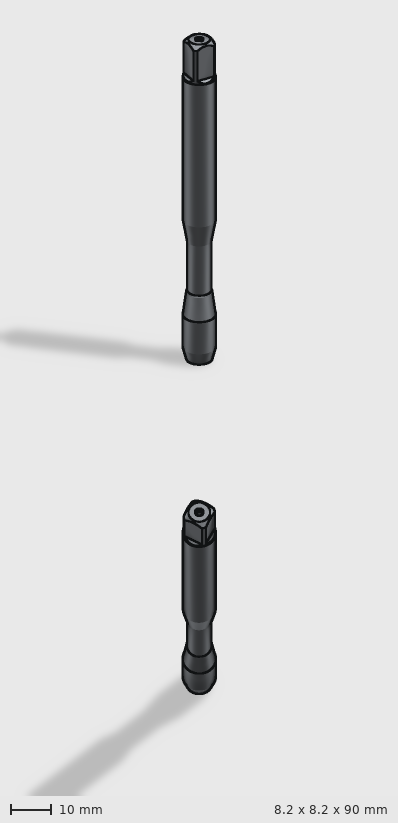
import cadquery as cq
import math

length = 90.0

thread_radius = 8.2 / 2
head_length = 12.8
lead_length = 3.7
tip_radius = 3.2
tip_point_height = 0.4

shank_radius = 8.1 / 2
neck_radius = 6.0 / 2
neck_bottom = 19.6
neck_top = 33.4
shank_bottom = 39.3
flare_height = 0.6
flare_radius = 3.2

square_width = 6.2
square_bottom = 80.4
corner_radius = 7.8 / 2
end_face_radius = 5.3 / 2
end_chamfer_height = 1.2
runout_height = shank_radius - square_width / 2
shank_top = square_bottom - runout_height

center_hole_radius = 1.5 / 2
center_hole_wall = 0.8
drill_point_height = center_hole_radius / math.tan(math.radians(118 / 2))
countersink_radius = 2.1 / 2
countersink_depth = 0.45


def revolve_profile(points):
    """Revolve a closed (radius, height) outline about the Z axis."""
    return cq.Workplane("XZ").polyline(points).close().revolve(360, (0, 0), (0, 1))


def make_cutting_head():
    """Thread envelope with a tapered lead and a shallow conical tip."""
    return revolve_profile([
        (0, 0),
        (tip_radius, tip_point_height),
        (thread_radius, lead_length),
        (thread_radius, head_length),
        (0, head_length),
    ])


def make_shank_blank():
    """Round shank with its relieved neck, flare and chamfered drive end."""
    return revolve_profile([
        (0, head_length),
        (shank_radius, head_length),
        (flare_radius, neck_bottom - flare_height),
        (neck_radius, neck_bottom),
        (neck_radius, neck_top),
        (shank_radius, shank_bottom),
        (shank_radius, shank_top),
        (corner_radius, shank_top),
        (corner_radius, length - end_chamfer_height),
        (end_face_radius, length),
        (0, length),
    ])


def make_flat_cutter():
    """Material outside one drive flat, with a 45 degree run-out at its lower end."""
    flat_distance = square_width / 2
    return (
        cq.Workplane("XZ")
        .polyline([
            (flat_distance, length),
            (flat_distance, square_bottom),
            (shank_radius, shank_top),
            (shank_radius, length),
        ])
        .close()
        .extrude(shank_radius, both=True)
    )


def make_center_hole():
    """Drilled hole with a countersunk mouth and a conical bottom."""
    wall_top = length - countersink_depth
    wall_bottom = wall_top - center_hole_wall
    return revolve_profile([
        (0, wall_bottom - drill_point_height),
        (center_hole_radius, wall_bottom),
        (center_hole_radius, wall_top),
        (countersink_radius, length),
        (0, length),
    ])


def make_shank():
    shank = make_shank_blank()
    for side in range(4):
        shank = shank.cut(make_flat_cutter().rotate((0, 0, 0), (0, 0, 1), side * 90))
    return shank.cut(make_center_hole())


cutting_head = make_cutting_head()
shank = make_shank()

result = cq.Compound.makeCompound([cutting_head.val(), shank.val()])